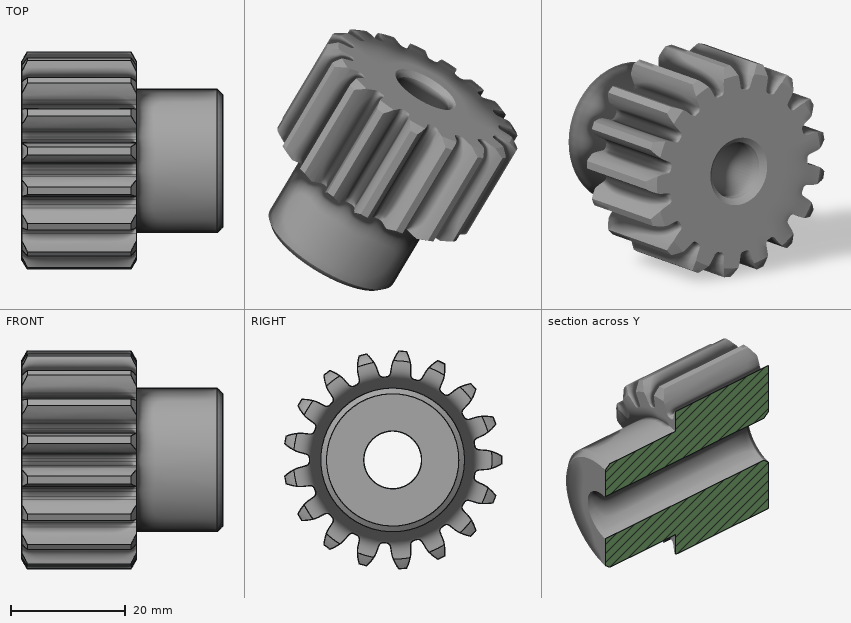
import cadquery as cq
import math

module = 2.0
tooth_count = 17
pressure_angle = math.radians(20)
root_clearance = 0.25 * module

pitch_radius = module * tooth_count / 2
tip_radius = pitch_radius + module
root_radius = pitch_radius - module - root_clearance
base_radius = pitch_radius * math.cos(pressure_angle)
tooth_pitch_angle = 2 * math.pi / tooth_count

root_land_width = 0.5
root_fillet_radius = 0.38 * module

flank_steps = 6

face_width = 20.0
tooth_chamfer_length = 1.0
tooth_chamfer_angle = math.radians(60)
tooth_chamfer_depth = tooth_chamfer_length * math.tan(tooth_chamfer_angle)

hub_diameter = 25.0
hub_length = 15.0
hub_chamfer = 1.0
total_length = face_width + hub_length

bore_radius = 5.0
bore_chamfer = 1.0


def involute_function(angle):
    return math.tan(angle) - angle


def half_tooth_angle(radius):
    """Half of the angle a tooth spans at a radius on its involute flank."""
    flank_angle = math.acos(base_radius / radius)
    half_at_pitch = tooth_pitch_angle / 4
    return half_at_pitch + involute_function(pressure_angle) - involute_function(flank_angle)


def polar(radius, angle):
    """Cartesian coordinates of a polar point."""
    return (radius * math.cos(angle), radius * math.sin(angle))


def root_fillet_points():
    """Radius and angle from the gap centre of a fillet's start, middle and end.

    The fillet leaves the root circle at the edge of the land and ends where
    the straight line to the foot of the involute is tangent to it.
    """
    land_half_angle = math.asin(root_land_width / 2 / root_radius)
    gap_half_angle = tooth_pitch_angle / 2 - half_tooth_angle(base_radius)
    centre_x, centre_y = polar(root_radius + root_fillet_radius, land_half_angle)
    foot_x, foot_y = polar(base_radius, gap_half_angle)

    foot_distance = math.hypot(foot_x - centre_x, foot_y - centre_y)
    foot_direction = math.atan2(foot_y - centre_y, foot_x - centre_x)
    start_direction = math.pi + land_half_angle
    end_direction = foot_direction + math.acos(root_fillet_radius / foot_distance)
    middle_direction = (start_direction + end_direction) / 2

    points = []
    for direction in (start_direction, middle_direction, end_direction):
        x = centre_x + root_fillet_radius * math.cos(direction)
        y = centre_y + root_fillet_radius * math.sin(direction)
        points.append((math.hypot(x, y), math.atan2(y, x)))
    return points


def tooth_profile():
    """Outline across the gear: flat tips, involute flanks and filleted roots."""
    fillet_start, fillet_middle, fillet_end = root_fillet_points()
    flank_radii = [
        base_radius + (tip_radius - base_radius) * step / flank_steps
        for step in range(flank_steps + 1)
    ]

    def gap_point(gap_centre, fillet_point, side):
        radius, angle = fillet_point
        return polar(radius, gap_centre + side * angle)

    profile = cq.Workplane("YZ").moveTo(*gap_point(-tooth_pitch_angle / 2, fillet_end, 1))
    for tooth in range(tooth_count):
        centre = tooth * tooth_pitch_angle
        gap_centre = centre + tooth_pitch_angle / 2
        rising = [polar(r, centre - half_tooth_angle(r)) for r in flank_radii]
        falling = [polar(r, centre + half_tooth_angle(r)) for r in reversed(flank_radii)]
        profile = (
            profile.lineTo(*rising[0])
            .spline(rising[1:], includeCurrent=True)
            .lineTo(*falling[0])
            .spline(falling[1:], includeCurrent=True)
            .lineTo(*gap_point(gap_centre, fillet_end, -1))
            .threePointArc(
                gap_point(gap_centre, fillet_middle, -1),
                gap_point(gap_centre, fillet_start, -1),
            )
            .threePointArc(
                polar(root_radius, gap_centre),
                gap_point(gap_centre, fillet_start, 1),
            )
            .threePointArc(
                gap_point(gap_centre, fillet_middle, 1),
                gap_point(gap_centre, fillet_end, 1),
            )
        )
    return profile.close()


def chamfered_blank():
    """Turned disc whose conical end chamfers bevel the tooth ends."""
    shoulder_radius = tip_radius - tooth_chamfer_depth
    return (
        cq.Workplane("XY")
        .polyline([
            (0, 0),
            (0, shoulder_radius),
            (tooth_chamfer_length, tip_radius),
            (face_width - tooth_chamfer_length, tip_radius),
            (face_width, shoulder_radius),
            (face_width, 0),
        ])
        .close()
        .revolve(360, (0, 0, 0), (1, 0, 0))
    )


def toothed_rim():
    """Gear teeth from the X = 0 face, bevelled at both ends."""
    return tooth_profile().extrude(face_width).intersect(chamfered_blank())


def hub():
    """Plain cylinder behind the rim, chamfered at its free end."""
    return (
        cq.Workplane("YZ", origin=(face_width, 0, 0))
        .circle(hub_diameter / 2)
        .extrude(hub_length)
        .faces(">X")
        .chamfer(hub_chamfer)
    )


def bore():
    """Through bore with a countersunk mouth at the toothed end."""
    return (
        cq.Workplane("XY")
        .polyline([
            (0, 0),
            (0, bore_radius + bore_chamfer),
            (bore_chamfer, bore_radius),
            (total_length, bore_radius),
            (total_length, 0),
        ])
        .close()
        .revolve(360, (0, 0, 0), (1, 0, 0))
    )


result = toothed_rim().union(hub()).cut(bore())